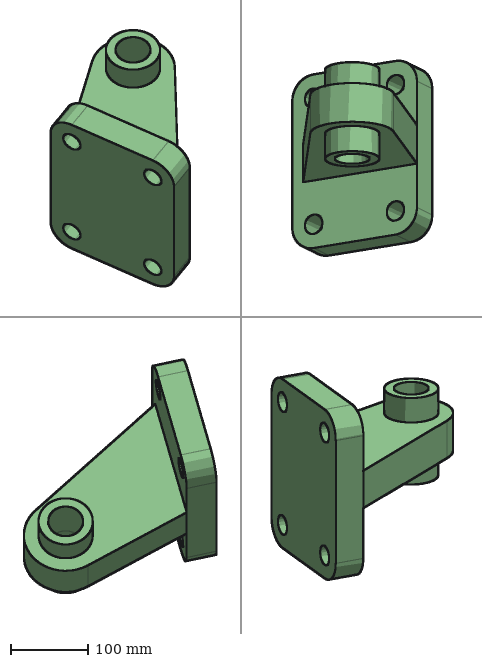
import cadquery as cq
import math

plate_width = 186.0
plate_height = 234.0
plate_thickness = 40.0
corner_radius = 32.0
bolt_hole_diameter = 26.0

overall_width = 236.0
overall_depth = 254.0
arm_thickness = 52.0
eye_radius = 54.0
foot_right_inset = 16.5

hub_diameter = 70.0
hub_length = 120.0
bore_diameter = 45.0

plate_right = plate_width / 2
plate_left = -plate_right
eye_x = plate_right - overall_width + eye_radius
eye_y = overall_depth - eye_radius


def tangent_point(foot_x, foot_y, side):
    """Touch point on the eye of a line from the foot; side is +1 right, -1 left."""
    dx = foot_x - eye_x
    dy = foot_y - eye_y
    spread = math.acos(eye_radius / math.hypot(dx, dy))
    angle = math.atan2(dy, dx) + side * spread
    return eye_x + eye_radius * math.cos(angle), eye_y + eye_radius * math.sin(angle)


def make_plate():
    hole_spacing_x = plate_width - 2 * corner_radius
    hole_spacing_z = plate_height - 2 * corner_radius
    return (
        cq.Workplane("XZ")
        .rect(plate_width, plate_height)
        .extrude(-plate_thickness)
        .edges("|Y")
        .fillet(corner_radius)
        .faces("<Y")
        .workplane(centerOption="CenterOfBoundBox")
        .rect(hole_spacing_x, hole_spacing_z, forConstruction=True)
        .vertices()
        .hole(bolt_hole_diameter)
    )


def make_arm():
    foot_left = plate_left
    foot_right = plate_right - foot_right_inset
    return (
        cq.Workplane("XY")
        .moveTo(foot_left, plate_thickness)
        .lineTo(foot_right, plate_thickness)
        .lineTo(*tangent_point(foot_right, plate_thickness, 1))
        .threePointArc(
            (eye_x, eye_y + eye_radius),
            tangent_point(foot_left, plate_thickness, -1),
        )
        .close()
        .extrude(arm_thickness / 2, both=True)
    )


def make_hub_cylinder(diameter):
    return (
        cq.Workplane("XY")
        .center(eye_x, eye_y)
        .circle(diameter / 2)
        .extrude(hub_length / 2, both=True)
    )


result = (
    make_plate()
    .union(make_arm())
    .union(make_hub_cylinder(hub_diameter))
    .cut(make_hub_cylinder(bore_diameter))
)